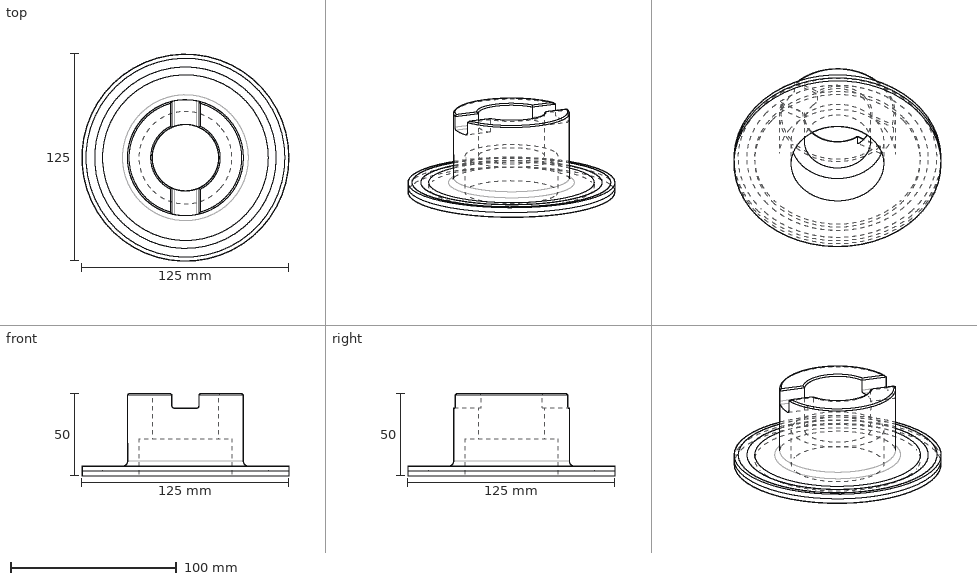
import cadquery as cq

flange_diameter = 125.0
flange_height = 6.0

hub_diameter = 70.0
total_height = 50.0
edge_chamfer = 1.0
root_fillet = 3.0

bore_diameter = 40.0
counterbore_diameter = 56.0
counterbore_depth = 22.5

slot_width = 16.2
slot_depth = 9.0
slot_corner_radius = 1.5

ring_inner_diameter = 100.0
ring_thickness = flange_height / 2

recess_outer_diameter = 120.0
recess_inner_diameter = 109.5
recess_depth = 0.1


def disc(diameter, height):
    """Vertical cylinder standing on the base plane, centred on the Z axis."""
    return cq.Workplane("XY").circle(diameter / 2).extrude(height)


def annulus(outer_diameter, inner_diameter, height):
    """Flat ring whose top is level with the top of the flange."""
    return (
        cq.Workplane("XY")
        .workplane(offset=flange_height - height)
        .circle(outer_diameter / 2)
        .circle(inner_diameter / 2)
        .extrude(height)
    )


def make_rim_ring():
    """Rim ring with its shallow top recess."""
    blank = annulus(flange_diameter, ring_inner_diameter, ring_thickness)
    return blank.cut(annulus(recess_outer_diameter, recess_inner_diameter, recess_depth))


def make_flanged_hub():
    """Flanged hub with its bore, slot and the rebate that seats the rim ring."""
    rebate = annulus(flange_diameter, ring_inner_diameter, ring_thickness)
    return make_flanged_blank().cut(make_bore_cutter()).cut(make_slot_cutter()).cut(rebate)


def make_flanged_blank():
    """Flange and hub as one revolved profile, with a concave root fillet."""
    hub_radius = hub_diameter / 2
    flange_radius = flange_diameter / 2
    root_top = flange_height + root_fillet
    arc_centre = (hub_radius + root_fillet, root_top)
    arc_offset = root_fillet * 0.5 ** 0.5
    return (
        cq.Workplane("XZ")
        .lineTo(flange_radius, 0)
        .lineTo(flange_radius, flange_height)
        .lineTo(hub_radius + root_fillet, flange_height)
        .threePointArc(
            (arc_centre[0] - arc_offset, arc_centre[1] - arc_offset),
            (hub_radius, root_top),
        )
        .lineTo(hub_radius, total_height - edge_chamfer)
        .lineTo(hub_radius - edge_chamfer, total_height)
        .lineTo(0, total_height)
        .close()
        .revolve(360, (0, 0, 0), (0, 1, 0))
    )


def make_bore_cutter():
    """Through bore, its top countersink and the counterbore from below."""
    countersink = (
        cq.Workplane("XY")
        .workplane(offset=total_height)
        .circle(bore_diameter / 2 + edge_chamfer)
        .workplane(offset=-edge_chamfer)
        .circle(bore_diameter / 2)
        .loft()
    )
    return disc(bore_diameter, total_height).union(countersink).union(
        disc(counterbore_diameter, counterbore_depth)
    )


def make_slot_cutter():
    """Bar along Y with rounded floor corners and flared top edges."""
    half_width = slot_width / 2
    flared_half_width = half_width + edge_chamfer
    floor = total_height - slot_depth
    bar = (
        cq.Workplane("XY")
        .workplane(offset=floor)
        .rect(slot_width, flange_diameter)
        .extrude(slot_depth)
        .edges("|Y and <Z")
        .fillet(slot_corner_radius)
    )
    flare = (
        cq.Workplane("XZ")
        .polyline([
            (-half_width, total_height - edge_chamfer),
            (half_width, total_height - edge_chamfer),
            (flared_half_width, total_height),
            (-flared_half_width, total_height),
        ])
        .close()
        .extrude(flange_diameter / 2, both=True)
    )
    return bar.union(flare)


rim_ring = make_rim_ring()
flanged_hub = make_flanged_hub()

result = cq.Compound.makeCompound([flanged_hub.val(), rim_ring.val()])